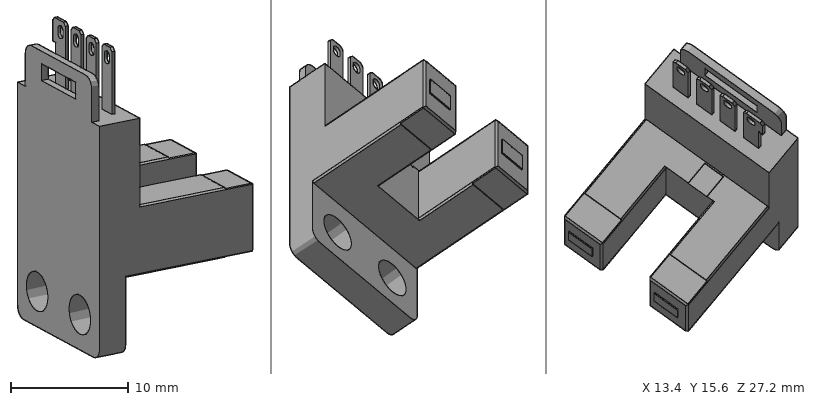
import cadquery as cq

WIDTH = 13.4
DEPTH = 15.6
HEIGHT = 27.2

PLATE_DEPTH = 2.65
BLOCK_DEPTH = 4.05
BODY_TOP = 21.22
CORNER_RADIUS = 1.0
MOUNT_HOLE_DIAMETER = 3.5
MOUNT_HOLE_SPACING = 7.0
MOUNT_HOLE_Z = 3.2

TAB_WIDTH = 10.88
TAB_DEPTH = 0.7
TAB_TOP = 25.2
WINDOW_WIDTH = 5.6
WINDOW_BOTTOM = 22.52
WINDOW_TOP = 24.05

FORK_BOTTOM = 7.0
FORK_HEIGHT = 6.35
FORK_TOP = FORK_BOTTOM + FORK_HEIGHT
FORK_MID_Z = FORK_BOTTOM + FORK_HEIGHT / 2
GAP_WIDTH = 5.03
GAP_FLOOR_Y = 6.5
ARM_WIDTH = (WIDTH - GAP_WIDTH) / 2
ARM_CENTER_X = (WIDTH + GAP_WIDTH) / 4
ARM_CHAMFER = 0.15

TIP_START_Y = 12.65
TIP_RELIEF = 0.08
TIP_CHAMFER = 0.2
PAD_WIDTH = 2.55
PAD_HEIGHT = 1.75
PAD_RISE = 0.1
PAD_OFFSET_X = 0.15
ARM_END_Y = DEPTH - PAD_RISE

INDICATOR_WIDTH = 2.0
INDICATOR_CENTER_X = -0.87
INDICATOR_START_Y = 4.2
INDICATOR_RECESS = 0.1

PIN_WIDTH = 1.63
PIN_THICKNESS = 0.3
PIN_CENTER_Y = 2.67
PIN_CORNER = 0.3
PIN_INNER_EDGES = (0.44, 3.0)
PIN_HOLE_PITCH = 2.53
PIN_HOLE_WIDTH = 0.82
PIN_HOLE_LENGTH = 1.15
PIN_HOLE_Z = 26.15
WIDE_HEAD_EXTRA = 0.44
WIDE_HEAD_BOTTOM = 24.97


def box(x_min, x_max, y_min, y_max, z_min, z_max):
    """Box given by its limits along each axis."""
    size = (x_max - x_min, y_max - y_min, z_max - z_min)
    return cq.Workplane("XY").box(*size, centered=False).translate((x_min, y_min, z_min))


def centered_box(x_center, width, y_min, y_max, z_min, z_max):
    """Box centred on x_center, given by its limits along Y and Z."""
    return box(x_center - width / 2, x_center + width / 2, y_min, y_max, z_min, z_max)


def make_plate():
    plate = centered_box(0, WIDTH, 0, PLATE_DEPTH, 0, BODY_TOP)
    plate = plate.edges("|Y and <Z").fillet(CORNER_RADIUS)
    block = centered_box(0, WIDTH, 0, BLOCK_DEPTH, FORK_MID_Z, BODY_TOP)
    for side in (-1, 1):
        hole = (
            cq.Workplane("XZ", origin=(side * MOUNT_HOLE_SPACING / 2, 0, MOUNT_HOLE_Z))
            .circle(MOUNT_HOLE_DIAMETER / 2)
            .extrude(-PLATE_DEPTH)
        )
        plate = plate.cut(hole)
    return plate.union(block)


def make_tab():
    tab = centered_box(0, TAB_WIDTH, 0, TAB_DEPTH, BODY_TOP, TAB_TOP)
    tab = tab.edges("|Y and >Z").fillet(CORNER_RADIUS)
    return tab.cut(centered_box(0, WINDOW_WIDTH, 0, TAB_DEPTH, WINDOW_BOTTOM, WINDOW_TOP))


def make_arm(center_x):
    """One arm with chamfered edges, a relieved tip and its end pad."""
    arm = centered_box(center_x, ARM_WIDTH, GAP_FLOOR_Y, ARM_END_Y, FORK_BOTTOM, FORK_TOP)
    arm = arm.edges("|Y").chamfer(ARM_CHAMFER)
    for z_min in (FORK_BOTTOM, FORK_TOP - TIP_RELIEF):
        relief = centered_box(center_x, ARM_WIDTH, TIP_START_Y, ARM_END_Y, z_min, z_min + TIP_RELIEF)
        arm = arm.cut(relief)
    tip_envelope = centered_box(
        center_x,
        ARM_WIDTH,
        TIP_START_Y,
        ARM_END_Y,
        FORK_BOTTOM + TIP_RELIEF,
        FORK_TOP - TIP_RELIEF,
    )
    tip = arm.intersect(tip_envelope.faces(">Y").edges().chamfer(TIP_CHAMFER))
    arm = arm.cut(tip_envelope).union(tip)
    pad = centered_box(
        center_x + PAD_OFFSET_X,
        PAD_WIDTH,
        ARM_END_Y,
        DEPTH,
        FORK_MID_Z - PAD_HEIGHT / 2,
        FORK_MID_Z + PAD_HEIGHT / 2,
    )
    return arm.union(pad)


def make_fork():
    bridge = centered_box(0, WIDTH, 0, GAP_FLOOR_Y, FORK_BOTTOM, FORK_TOP)
    bridge = bridge.edges("|Y").chamfer(ARM_CHAMFER)
    recess = centered_box(
        INDICATOR_CENTER_X,
        INDICATOR_WIDTH,
        INDICATOR_START_Y,
        GAP_FLOOR_Y,
        FORK_TOP - INDICATOR_RECESS,
        FORK_TOP,
    )
    fork = bridge.cut(recess)
    for side in (-1, 1):
        fork = fork.union(make_arm(side * ARM_CENTER_X))
    return fork


def make_pin(left, right, hole_x, head_left):
    """Flat pin with a slotted eye; its head may reach further left than its shank."""
    y_min = PIN_CENTER_Y - PIN_THICKNESS / 2
    y_max = PIN_CENTER_Y + PIN_THICKNESS / 2
    head = box(head_left, right, y_min, y_max, WIDE_HEAD_BOTTOM, HEIGHT)
    head = head.edges("|Y and >Z").chamfer(PIN_CORNER)
    shank = box(left, right, y_min, y_max, BODY_TOP, WIDE_HEAD_BOTTOM)
    eye = (
        cq.Workplane("XZ", origin=(hole_x, y_min, PIN_HOLE_Z))
        .slot2D(PIN_HOLE_LENGTH, PIN_HOLE_WIDTH, 90)
        .extrude(-PIN_THICKNESS)
    )
    return head.union(shank).cut(eye)


def make_pins():
    """Two mirrored pairs of pins; only the leftmost one has a widened head."""
    pins = cq.Workplane("XY")
    for index, inner_edge in enumerate(PIN_INNER_EDGES):
        outer_edge = inner_edge + PIN_WIDTH
        hole_x = (index + 0.5) * PIN_HOLE_PITCH
        is_outermost = inner_edge == max(PIN_INNER_EDGES)
        head_left = -outer_edge - (WIDE_HEAD_EXTRA if is_outermost else 0)
        pins = pins.add(make_pin(-outer_edge, -inner_edge, -hole_x, head_left))
        pins = pins.add(make_pin(inner_edge, outer_edge, hole_x, inner_edge))
    return pins


result = make_plate().union(make_tab()).union(make_fork())
for pin in make_pins().vals():
    result = result.union(cq.Workplane(pin))